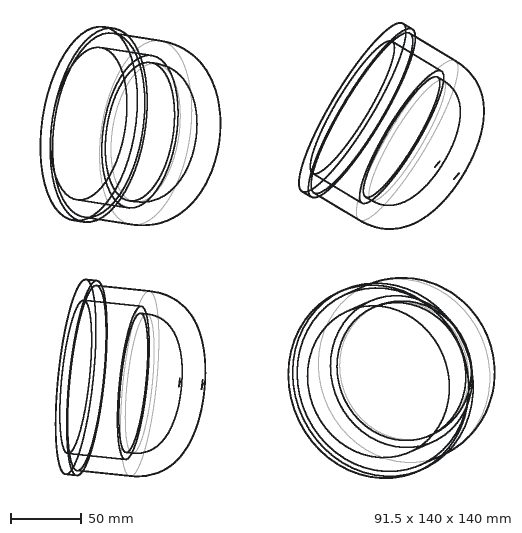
import cadquery as cq

flange_diameter = 140.0
flange_thickness = 8.1
body_diameter = 133.0
socket_diameter = 110.0
inner_diameter = 100.0
total_length = 91.5
dome_height = 45.1
socket_depth = 42.0
rim_fullness = 0.68
crown_fullness = 0.62
wall_thickness = (body_diameter - inner_diameter) / 2

flange_radius = flange_diameter / 2
body_radius = body_diameter / 2
socket_radius = socket_diameter / 2
inner_radius = inner_diameter / 2
dome_start = total_length - dome_height


def add_dome(profile, rim_radius, height):
    """Continue a profile from the rim to the axis with one smooth dome curve.

    The curve leaves the straight wall tangentially and meets the axis squarely.
    """
    return profile.bezier(
        [
            (dome_start, rim_radius),
            (dome_start + rim_fullness * height, rim_radius),
            (dome_start + height, crown_fullness * rim_radius),
            (dome_start + height, 0),
        ]
    )


def revolve_about_axis(profile):
    """Revolve a closed XY profile fully about the X axis."""
    return profile.close().revolve(360, (0, 0, 0), (1, 0, 0))


outer_wall = cq.Workplane("XY").lineTo(0, body_radius).lineTo(dome_start, body_radius)
body = revolve_about_axis(add_dome(outer_wall, body_radius, dome_height))

flange = cq.Workplane("YZ").circle(flange_radius).extrude(flange_thickness)

inner_wall = (
    cq.Workplane("XY")
    .lineTo(0, socket_radius)
    .lineTo(socket_depth, socket_radius)
    .lineTo(socket_depth, inner_radius)
    .lineTo(dome_start, inner_radius)
)
cavity = revolve_about_axis(add_dome(inner_wall, inner_radius, dome_height - wall_thickness))

result = body.union(flange).cut(cavity)